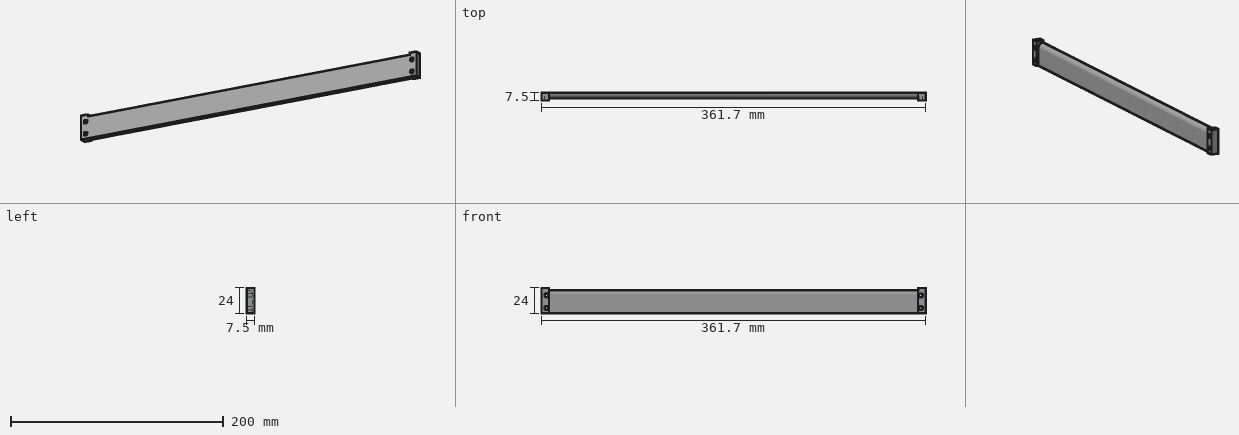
import cadquery as cq

total_length = 361.7
block_depth = 7.5
block_height = 24.0

block_width = 7.35
hole_diameter = 3.5
hole_inset = 4.85
hole_heights = (5.0, 17.0)

bar_depth = 5.5
bar_height = 22.0
round_radius = 4.5

back_y = block_depth / 2
bottom_z = -block_height / 2
half_length = total_length / 2
bar_length = total_length - 2 * block_width


def make_bar():
    """Bar of constant section whose front top edge is rounded."""
    front_y = back_y - bar_depth
    top_z = bottom_z + bar_height
    section = (
        cq.Workplane("YZ", origin=(-bar_length / 2, 0, 0))
        .moveTo(back_y, bottom_z)
        .lineTo(front_y, bottom_z)
        .lineTo(front_y, top_z - round_radius)
        .radiusArc((front_y + round_radius, top_z), round_radius)
        .lineTo(back_y, top_z)
        .close()
    )
    return section.extrude(bar_length)


def make_end_block(side):
    """End block with two through holes; side is -1 for the left end, +1 for the right end."""
    center_x = side * (half_length - block_width / 2)
    hole_x = side * (half_length - hole_inset)
    block = cq.Workplane("XY").box(block_width, block_depth, block_height).translate((center_x, 0, 0))
    hole_points = [(hole_x, bottom_z + height) for height in hole_heights]
    holes = (
        cq.Workplane("XZ", origin=(0, back_y, 0))
        .pushPoints(hole_points)
        .circle(hole_diameter / 2)
        .extrude(block_depth)
    )
    return block.cut(holes)


result = make_bar()
for end_side in (-1, 1):
    result = result.union(make_end_block(end_side))